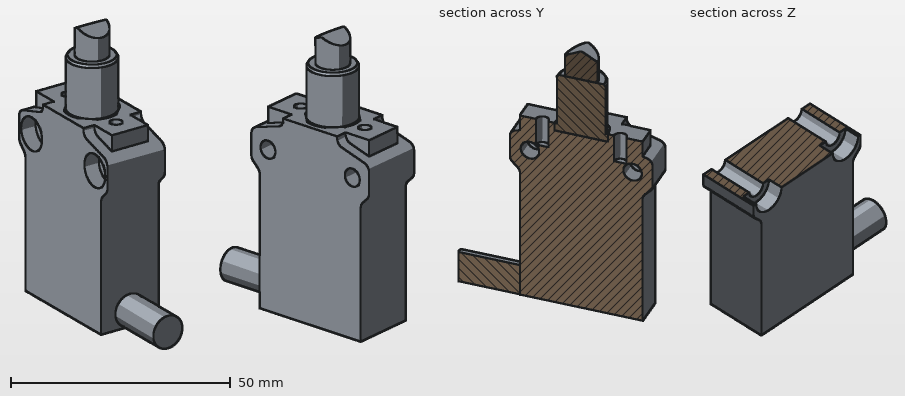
import cadquery as cq
import math


body_width = 30.0
depth = 16.0
body_height = 49.0
corner_radius = 2.0

ear_span = 35.0
ear_flat_top = 44.25
ear_flat_bottom = 36.55
ear_slope = math.radians(16.5)
shoulder_width = 16.0

mount_spacing = 25.05
mount_height = 40.05
mount_diameter = 4.4
counterbore_diameter = 8.25
counterbore_depth = 4.0

tab_depth = 10.0
pin_hole_spacing = 19.05
pin_hole_diameter = 3.0
pin_hole_depth = 7.0

sleeve_diameter = 12.05
sleeve_top = 62.4
sleeve_chamfer_height = 0.7
sleeve_chamfer_width = 0.4
collar_diameter = 13.0
collar_across_flats = 12.2
collar_depth = 2.0

plunger_diameter = 8.0
plunger_top = 70.0
roof_slope = math.radians(27)
ridge_radius = 0.85

cable_diameter = 8.1
cable_axis_height = 4.1
cable_length = body_width / 2


def make_ear_plate():
    """Full-depth outline with sloped shoulders above and 45 degree undercuts below the ears."""
    half_body = body_width / 2
    half_ear = ear_span / 2
    half_shoulder = shoulder_width / 2
    shoulder_foot = ear_flat_top + (half_ear - half_shoulder) * math.tan(ear_slope)
    undercut_foot = ear_flat_bottom - (half_ear - half_body)
    right_side = [
        (half_body, 0),
        (half_body, undercut_foot),
        (half_ear, ear_flat_bottom),
        (half_ear, ear_flat_top),
        (half_shoulder, shoulder_foot),
        (half_shoulder, body_height),
    ]
    left_side = [(-x, z) for x, z in reversed(right_side)]
    plate = (
        cq.Workplane("XZ")
        .polyline(right_side + left_side)
        .close()
        .extrude(depth / 2, both=True)
    )
    rounded_corners = right_side[1:-1] + left_side[1:-1]
    for x, z in rounded_corners:
        corner_edge = cq.selectors.NearestToPointSelector((x, 0, z))
        plate = plate.edges("|Y").edges(corner_edge).fillet(corner_radius)
    return plate


def collar_shape(height):
    """Disc with four flats facing the diagonals, its top level with the housing top."""
    disc = cq.Workplane("XY").circle(collar_diameter / 2).extrude(height)
    square = (
        cq.Workplane("XY")
        .rect(collar_across_flats, collar_across_flats)
        .extrude(height)
        .rotate((0, 0, 0), (0, 0, 1), 45)
    )
    return disc.intersect(square).translate((0, 0, body_height - height))


def make_housing():
    tab = cq.Workplane("XY").rect(body_width, tab_depth).extrude(body_height)
    mount_points = [(-mount_spacing / 2, mount_height), (mount_spacing / 2, mount_height)]
    mount_bores = (
        cq.Workplane("XZ")
        .pushPoints(mount_points)
        .circle(mount_diameter / 2)
        .extrude(depth, both=True)
    )
    counterbores = (
        cq.Workplane("XZ", origin=(0, -depth / 2, 0))
        .pushPoints(mount_points)
        .circle(counterbore_diameter / 2)
        .extrude(-counterbore_depth)
    )
    pin_holes = (
        cq.Workplane("XY", origin=(0, 0, body_height))
        .pushPoints([(-pin_hole_spacing / 2, 0), (pin_hole_spacing / 2, 0)])
        .circle(pin_hole_diameter / 2)
        .extrude(-pin_hole_depth)
    )
    return (
        make_ear_plate()
        .union(tab)
        .cut(mount_bores)
        .cut(counterbores)
        .cut(pin_holes)
        .cut(collar_shape(collar_depth))
    )


def make_sleeve():
    barrel = (
        cq.Workplane("XY", origin=(0, 0, body_height))
        .circle(sleeve_diameter / 2)
        .extrude(sleeve_top - body_height)
        .faces(">Z")
        .chamfer(sleeve_chamfer_height, sleeve_chamfer_width)
    )
    return barrel.union(collar_shape(collar_depth))


def make_plunger():
    """Round rod standing on the sleeve, cut by two planes that meet in a rounded ridge along Y."""
    radius = plunger_diameter / 2
    ridge_peak = plunger_top + ridge_radius * (1 / math.cos(roof_slope) - 1)
    roof_edge = ridge_peak - radius * math.tan(roof_slope)
    rod = (
        cq.Workplane("XY", origin=(0, 0, sleeve_top))
        .circle(radius)
        .extrude(ridge_peak - sleeve_top)
    )
    roof = (
        cq.Workplane("XZ")
        .polyline([
            (-radius, sleeve_top),
            (radius, sleeve_top),
            (radius, roof_edge),
            (0, ridge_peak),
            (-radius, roof_edge),
        ])
        .close()
        .extrude(plunger_diameter, both=True)
        .edges("|Y and >Z")
        .fillet(ridge_radius)
    )
    return rod.intersect(roof)


def make_cable():
    return (
        cq.Workplane("YZ", origin=(body_width / 2, 0, cable_axis_height))
        .circle(cable_diameter / 2)
        .extrude(cable_length)
    )


housing = make_housing()
sleeve = make_sleeve()
plunger = make_plunger()
cable = make_cable()

result = cq.Compound.makeCompound([housing.val(), sleeve.val(), plunger.val(), cable.val()])